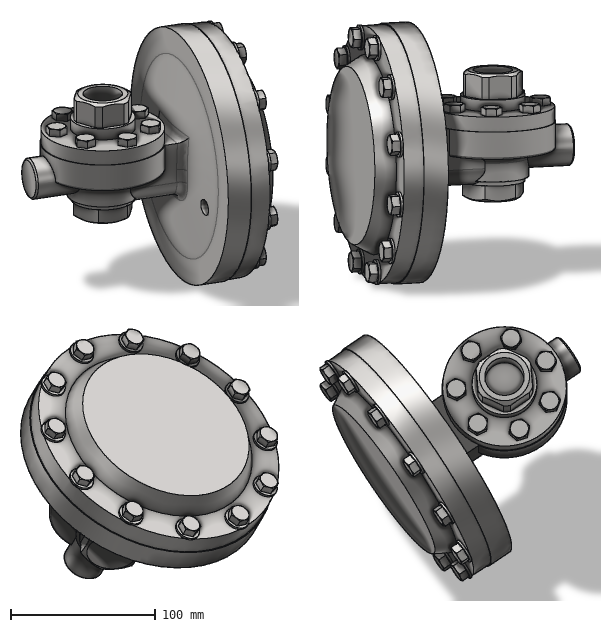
import cadquery as cq
import math


FLANGE_RADIUS = 90.5
FLANGE_FRONT_Y = 57.2
FLANGE_JOINT_Y = 74.6
FLANGE_BACK_Y = 88.7
REAR_FLANGE_FRONT_RADIUS = 89.8
REAR_FLANGE_BACK_RADIUS = 89.5
REAR_CONE_BASE_RADIUS = 69.5
REAR_CONE_TOP_RADIUS = 62.0
BACK_FACE_Y = 102.1

FRONT_CONE_RADIUS = 72.0
FRONT_CONE_TIP_RADIUS = 14.5
FRONT_CONE_SLOPE = 0.114

VENT_X = 51.6
VENT_Z = -18.7
VENT_RADIUS = 5.6
VENT_BOTTOM_Y = 65.2

FLANGE_BOLT_COUNT = 12
FLANGE_BOLT_CIRCLE_RADIUS = 81.7
FLANGE_BOLT_HEAD_TOP_Y = 96.3
WASHER_RADIUS = 8.7
WASHER_THICKNESS = 1.6

UPPER_NUT_TOP_Z = 55.5
UPPER_COLLAR_TOP_Z = 38.0
COVER_BOLT_TOP_Z = 35.3
COVER_TOP_Z = 29.9
COVER_BOTTOM_Z = 19.4
BOWL_BOTTOM_Z = 0.0
STUB_BOTTOM_Z = -19.2
LOWER_COLLAR_BOTTOM_Z = -22.5
LOWER_NUT_BOTTOM_Z = -34.5

COVER_RADIUS = 43.0
BOWL_RADIUS = 43.5
BOWL_EDGE_FILLET = 1.3
COLLAR_RADIUS = 22.5
STUB_RADIUS = 25.0
BLEND_RADIUS = 6.0

NUT_FLATS = 38.0
UPPER_NUT_CORNER_RADIUS = 20.6
NUT_FACE_RADIUS = 17.4
PORT_RADIUS = 13.5
PORT_DEPTH = 13.2

COVER_BOLT_COUNT = 7
COVER_BOLT_CIRCLE_RADIUS = 33.5
COVER_BOLT_START_ANGLE = 60.0

BOLT_FLATS = 12.9
BOLT_FACE_RADIUS = 6.3

HEAD_CHAMFER_ANGLE = 30.0

NECK_HALF_WIDTH = 22.1
NECK_BOTTOM_Z = LOWER_COLLAR_BOTTOM_Z
NECK_CORNER_RADIUS = 12.7

TUBE_RADIUS = 14.5
TUBE_END_Y = -55.2
TUBE_CHAMFER = 1.3


def hexagon_corner_radius(flats):
    return flats / math.sqrt(3)


def front_cone_y(radius):
    return FLANGE_FRONT_Y - FRONT_CONE_SLOPE * (FRONT_CONE_RADIUS - radius)


def make_disc():
    profile = [
        (0, front_cone_y(FRONT_CONE_TIP_RADIUS)),
        (FRONT_CONE_TIP_RADIUS, front_cone_y(FRONT_CONE_TIP_RADIUS)),
        (FRONT_CONE_RADIUS, FLANGE_FRONT_Y),
        (FLANGE_RADIUS, FLANGE_FRONT_Y),
        (FLANGE_RADIUS, FLANGE_JOINT_Y),
        (REAR_FLANGE_FRONT_RADIUS, FLANGE_JOINT_Y),
        (REAR_FLANGE_BACK_RADIUS, FLANGE_BACK_Y),
        (REAR_CONE_BASE_RADIUS, FLANGE_BACK_Y),
        (REAR_CONE_TOP_RADIUS, BACK_FACE_Y),
        (0, BACK_FACE_Y),
    ]
    return cq.Workplane("XY").polyline(profile).close().revolve(360, (0, 0, 0), (0, 1, 0))


def make_neck():
    height = COVER_BOTTOM_Z - NECK_BOTTOM_Z
    neck = cq.Workplane("XY", origin=(0, 0, NECK_BOTTOM_Z)).box(
        2 * NECK_HALF_WIDTH, FLANGE_FRONT_Y, height, centered=(True, False, False)
    )
    return neck.edges("|Y and <Z").fillet(NECK_CORNER_RADIUS)


def make_disc_with_neck():
    body = make_disc().union(make_neck())
    joint = cq.selectors.BoxSelector(
        (-NECK_HALF_WIDTH - 1.8, front_cone_y(0), NECK_BOTTOM_Z - 1.8),
        (NECK_HALF_WIDTH + 1.8, FLANGE_FRONT_Y - 1.8, COVER_BOTTOM_Z + 1.8),
    )
    return body.edges(joint).fillet(BLEND_RADIUS)


def make_vent():
    return (
        cq.Workplane("XZ", origin=(VENT_X, VENT_BOTTOM_Y, VENT_Z))
        .circle(VENT_RADIUS)
        .extrude(VENT_BOTTOM_Y)
    )


def make_valve_body():
    return (
        cq.Workplane("XZ")
        .moveTo(0, UPPER_COLLAR_TOP_Z)
        .lineTo(COLLAR_RADIUS, UPPER_COLLAR_TOP_Z)
        .lineTo(COLLAR_RADIUS, COVER_TOP_Z)
        .lineTo(COVER_RADIUS, COVER_TOP_Z)
        .lineTo(COVER_RADIUS, COVER_BOTTOM_Z)
        .lineTo(BOWL_RADIUS, COVER_BOTTOM_Z)
        .lineTo(BOWL_RADIUS, BOWL_BOTTOM_Z + BOWL_EDGE_FILLET)
        .radiusArc((BOWL_RADIUS - BOWL_EDGE_FILLET, BOWL_BOTTOM_Z), BOWL_EDGE_FILLET)
        .lineTo(STUB_RADIUS + BLEND_RADIUS, BOWL_BOTTOM_Z)
        .radiusArc((STUB_RADIUS, BOWL_BOTTOM_Z - BLEND_RADIUS), -BLEND_RADIUS)
        .lineTo(STUB_RADIUS, STUB_BOTTOM_Z)
        .lineTo(COLLAR_RADIUS, STUB_BOTTOM_Z)
        .lineTo(COLLAR_RADIUS, LOWER_COLLAR_BOTTOM_Z)
        .lineTo(0, LOWER_COLLAR_BOTTOM_Z)
        .close()
        .revolve(360, (0, 0, 0), (0, 1, 0))
    )


def make_hexagon_head(flats, corner_radius, face_radius, height):
    """Head standing on Z = 0 with a corner on the X axis, turned to a radius and chamfered on top."""
    hexagon = cq.Workplane("XY").polygon(6, 2 * hexagon_corner_radius(flats)).extrude(height)
    chamfer_drop = (corner_radius - face_radius) * math.tan(math.radians(HEAD_CHAMFER_ANGLE))
    turned = (
        cq.Workplane("XZ")
        .polyline([
            (0, 0),
            (corner_radius, 0),
            (corner_radius, height - chamfer_drop),
            (face_radius, height),
            (0, height),
        ])
        .close()
        .revolve(360, (0, 0, 0), (0, 1, 0))
    )
    return hexagon.intersect(turned)


def make_nut(height, corner_radius):
    """Nut standing on Z = 0 with two corners on the Y axis."""
    nut = make_hexagon_head(NUT_FLATS, corner_radius, NUT_FACE_RADIUS, height)
    return nut.rotate((0, 0, 0), (0, 0, 1), 30)


def make_upper_nut():
    nut = make_nut(UPPER_NUT_TOP_Z - UPPER_COLLAR_TOP_Z, UPPER_NUT_CORNER_RADIUS)
    return nut.translate((0, 0, UPPER_COLLAR_TOP_Z))


def make_lower_nut():
    nut = make_nut(LOWER_COLLAR_BOTTOM_Z - LOWER_NUT_BOTTOM_Z, hexagon_corner_radius(NUT_FLATS))
    return nut.rotate((0, 0, 0), (1, 0, 0), 180).translate((0, 0, LOWER_COLLAR_BOTTOM_Z))


def make_port():
    port_bottom_z = UPPER_NUT_TOP_Z - PORT_DEPTH
    return cq.Workplane("XY", origin=(0, 0, port_bottom_z)).circle(PORT_RADIUS).extrude(PORT_DEPTH)


def make_tube():
    tube = cq.Workplane("XZ").circle(TUBE_RADIUS).extrude(-TUBE_END_Y)
    return tube.faces("<Y").chamfer(TUBE_CHAMFER)


def make_bolt_head(height, turn):
    """Bolt head standing on Z = 0 with a corner at the given angle from X."""
    head = make_hexagon_head(BOLT_FLATS, hexagon_corner_radius(BOLT_FLATS), BOLT_FACE_RADIUS, height)
    return head.rotate((0, 0, 0), (0, 0, 1), turn)


def make_cover_bolts():
    head = make_bolt_head(COVER_BOLT_TOP_Z - COVER_TOP_Z, 30)
    bolt = head.translate((COVER_BOLT_CIRCLE_RADIUS, 0, COVER_TOP_Z))
    bolts = cq.Workplane("XY")
    for i in range(COVER_BOLT_COUNT):
        angle = COVER_BOLT_START_ANGLE + i * 360 / COVER_BOLT_COUNT
        bolts = bolts.add(bolt.rotate((0, 0, 0), (0, 0, 1), angle))
    return bolts.combine()


def make_flange_bolts():
    washer = cq.Workplane("XY").circle(WASHER_RADIUS).extrude(WASHER_THICKNESS)
    head = make_bolt_head(FLANGE_BOLT_HEAD_TOP_Y - FLANGE_BACK_Y, 15)
    bolt = (
        washer.union(head)
        .rotate((0, 0, 0), (1, 0, 0), -90)
        .translate((FLANGE_BOLT_CIRCLE_RADIUS, FLANGE_BACK_Y, 0))
    )
    bolts = cq.Workplane("XY")
    step = 360 / FLANGE_BOLT_COUNT
    for i in range(FLANGE_BOLT_COUNT):
        bolts = bolts.add(bolt.rotate((0, 0, 0), (0, 1, 0), (i + 0.5) * step))
    return bolts.combine()


result = (
    make_disc_with_neck()
    .cut(make_vent())
    .union(make_valve_body())
    .union(make_tube())
    .union(make_upper_nut())
    .union(make_lower_nut())
    .cut(make_port())
    .union(make_cover_bolts())
    .union(make_flange_bolts())
)